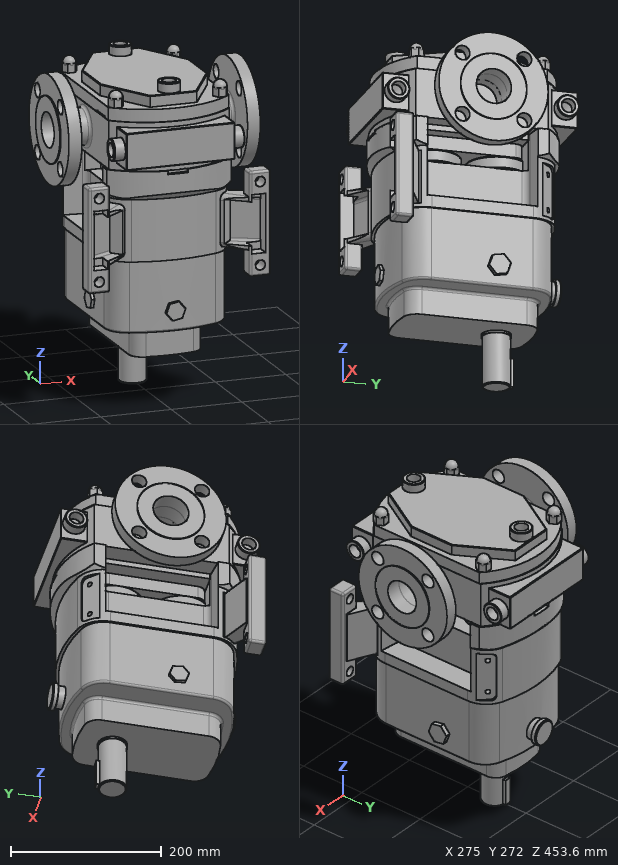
import cadquery as cq
import math

SIDES = (-1, 1)

JACKET_TOP_Z = 66.4
COVER_TOP_Z = 50.6
COVER_BOTTOM_Z = 32.8
CASING_BOTTOM_Z = -34.7
GLAND_TOP_Z = -61.8
GLAND_BOTTOM_Z = -80.0
WEB_TOP_Z = -84.3
COLLAR_BOTTOM_Z = -75.0
WINDOW_BOTTOM_Z = -144.4
FRAME_BOTTOM_Z = -161.2
GEARCASE_BOTTOM_Z = -261.3
BEARING_CAP_BOTTOM_Z = -299.8
SHAFT_END_Z = -373.58
PLUG_Z = -232.5

CASING_HALF_X = 85.5
CASING_RADIUS = 125.7
COVER_RADIUS = 124.4
PRY_LENGTH = 29.0
PRY_DEPTH = 4.0
COVER_PRY_HEIGHT = 2.0
COVER_PRY_Y = -61.5
FRAME_PRY_HEIGHT = 4.8
FRAME_PRY_DEPTH = 6.0

EDGE_CHAMFER = 1.0
JACKET_HALF_X = 77.0
JACKET_INNER_Y = 97.5
JACKET_OUTER_Y = 136.0
JACKET_HEIGHT = 51.0
COVER_JACKET_HALF_X = 76.0
COVER_JACKET_HALF_Y = 109.0
COVER_JACKET_END_X = 33.2
COVER_JACKET_SIDE_Y = 34.8
COVER_PORT_Y = 92.3
SIDE_PORT_Y = 118.0
PORT_RADIUS = 15.2
PORT_BORE_RADIUS = 9.5
PORT_BORE_DEPTH = 15.0
COVER_PORT_LENGTH = 13.6
SIDE_PORT_LENGTH = 15.3
DRILL_HALF_ANGLE = math.radians(59)

NUT_X = 74.0
NUT_Y = 88.0
NUT_FLATS = 18.0
NUT_HEIGHT = 12.6
NUT_DOME_RADIUS = 9.3

FLANGE_FACE_X = 137.5
RAISED_FACE_HEIGHT = 1.6
RAISED_FACE_RADIUS = 46.0
FLANGE_BACK_X = 117.5
FLANGE_RADIUS = 76.0
PIPE_RADIUS = 25.4
PIPE_FILLET = 4.0
PORT_HOLE_RADIUS = 24.3
PORT_HOLE_DEPTH = 65.0
BOLT_CIRCLE_RADIUS = 60.8
BOLT_HOLE_RADIUS = 10.0

SHAFT_Y = 46.4
SEAL_BLOCK_HALF_X = 40.0
SEAL_BLOCK_CORNER = 12.0
SEAL_STEP_HALF_X = 60.0
SEAL_STEP_HEIGHT = 8.0
GLAND_RADIUS = 42.2
GLAND_CHAMFER = 2.0
GLAND_NECK_RADIUS = 27.0

END_ARC_RADIUS = 185.0
COLLAR_HALF_X = 88.4
COLLAR_RADIUS = 128.0
COLLAR_FLARE = 12.0
FRAME_HALF_X = 87.4
FRAME_HALF_Y = 119.0
FRAME_CORNER = 40.5
GEARCASE_HALF_X = 84.6
GEARCASE_HALF_Y = 114.6
GEARCASE_CORNER = 35.5
GEARCASE_BOTTOM_FILLET = 3.0
BEARING_CAP_HALF_X = 50.3
BEARING_CAP_HALF_Y = 96.3
BEARING_CAP_CORNER = 20.3
BEARING_CAP_ROOT = 3.5
SELECTION_MARGIN = 1.0
WINDOW_HALF_Y = 72.7
WINDOW_MOUTH_HALF_Y = 77.0
WINDOW_CORNER = 8.7
WEB_HALF_X = 53.0

PAD_TOP_Z = -81.5
PAD_BOTTOM_Z = -155.8
PAD_REACH = 169.6
PAD_EDGE_X = 87.4
PAD_TIP_X = 66.0
PAD_CORNER = 8.0
PAD_CLEARANCE = 8.0
PAD_HOLE_RADIUS = 3.3
PAD_HOLE_DEPTH = 15.0
PAD_HOLE_Y = 95.5
PAD_HOLE_INSET = 12.3

FOOT_INNER_X = 98.9
FOOT_OUTER_X = 129.2
FOOT_BACK_Y = 108.5
FOOT_FRONT_Y = 133.3
FOOT_TOP_Z = -45.6
FOOT_BOTTOM_Z = -191.9
FOOT_ROUND = 3.3
FOOT_WALL_X = 121.6
FOOT_RIB = 6.0
FOOT_PLATE = 8.5
FOOT_FLANGE = 6.5
FOOT_POCKET_FILLET = 3.5
FOOT_HOLE_RADIUS = 6.9
FOOT_HOLE_X = 114.2
FOOT_HOLE_INSET = 15.4
FOOT_POCKET_TOP_Z = -78.0
FOOT_POCKET_BOTTOM_Z = -160.0
ARM_EDGE_Y = 90.0
ARM_WALL_Y = 107.0

PLUG_ACROSS_CORNERS = 27.5
PLUG_HEIGHT = 4.6
PLUG_ROOT = 3.0
PLUG_TURN = 10.0
LARGE_PLUG_ACROSS_CORNERS = 31.0
LARGE_PLUG_HEIGHT = 6.9
SIDE_PLUG_Y = 23.3
GLASS_NECK_RADIUS = 15.5
GLASS_NECK_END_Y = 124.5
GLASS_RIM_RADIUS = 18.6
GLASS_RIM_END_Y = 132.0
GLASS_EDGE = 1.5

SHAFT_RADIUS = 19.0
SHAFT_SHOULDER_RADIUS = 20.0
SHAFT_SHOULDER_LENGTH = 3.0
SHAFT_CHAMFER = 1.5
KEY_TOP_Z = -332.4
KEY_WIDTH = 10.0
KEY_RISE = 23.0


def block(x0, x1, y0, y1, z0, z1):
    """Box between two opposite corners."""
    return cq.Workplane("XY").box(x1 - x0, y1 - y0, z1 - z0, centered=False).translate((x0, y0, z0))


def rod(start, direction, radius, length):
    """Cylinder that starts at a point and runs along a direction."""
    return cq.Workplane(cq.Solid.makeCylinder(radius, length, cq.Vector(*start), cq.Vector(*direction)))


def hexagon(start, direction, across_corners, length, turn=0.0):
    """Hexagonal prism; at zero turn a corner points along the local X axis."""
    x_axis = (1, 0, 0) if direction[0] == 0 else (0, 1, 0)
    plane = cq.Plane(origin=start, xDir=x_axis, normal=direction)
    return cq.Workplane(plane.rotated((0, 0, turn))).polygon(6, across_corners).extrude(length)


def prism(points, z0, z1):
    """Polygon in the XY plane extruded between two levels."""
    return cq.Workplane("XY").workplane(offset=z0).polyline(points).close().extrude(z1 - z0)


def flattened_disc(radius, half_x, z0, z1):
    """Disc with two flats facing X."""
    disc = rod((0, 0, z0), (0, 0, 1), radius, z1 - z0)
    return disc.intersect(block(-half_x, half_x, -radius, radius, z0, z1))


def bowed_block(half_x, half_y, corner, z0, z1):
    """Block with flat X sides, bowed Y ends and rounded corners."""
    edge_y = half_y - END_ARC_RADIUS + math.sqrt(END_ARC_RADIUS**2 - half_x**2)
    return (
        cq.Workplane("XY").workplane(offset=z0)
        .moveTo(half_x, -edge_y)
        .lineTo(half_x, edge_y)
        .threePointArc((0, half_y), (-half_x, edge_y))
        .lineTo(-half_x, -edge_y)
        .threePointArc((0, -half_y), (half_x, -edge_y))
        .close()
        .extrude(z1 - z0)
        .edges("|Z").fillet(corner)
    )


def drilled_hole(mouth, inward, radius, depth):
    """Cutter for a blind hole with a conical drill point."""
    point_length = radius / math.tan(DRILL_HALF_ANGLE)
    straight = cq.Solid.makeCylinder(radius, depth, mouth, inward)
    point = cq.Solid.makeCone(radius, 0, point_length, mouth + inward * depth, inward)
    return cq.Workplane(straight.fuse(point))


def port_boss(base, outward, length):
    """Threaded port boss and the cutter for its blind hole."""
    start = cq.Vector(base)
    axis = cq.Vector(outward)
    boss = rod(base, outward, PORT_RADIUS, length)
    boss = boss.faces(cq.selectors.DirectionMinMaxSelector(axis, True)).chamfer(EDGE_CHAMFER)
    mouth = start + axis * length
    hole = drilled_hole(mouth, axis * -1, PORT_BORE_RADIUS, PORT_BORE_DEPTH)
    return boss, hole


def acorn_nut(x, y):
    corners = NUT_FLATS / math.cos(math.pi / 6)
    dome_z = COVER_TOP_Z + NUT_HEIGHT
    nut = hexagon((x, y, COVER_TOP_Z), (0, 0, 1), corners, NUT_HEIGHT)
    dome = cq.Workplane("XY").sphere(NUT_DOME_RADIUS).translate((x, y, dome_z))
    return nut.union(dome)


def make_cover():
    body = flattened_disc(COVER_RADIUS, CASING_HALF_X, COVER_BOTTOM_Z, COVER_TOP_Z)
    octagon = [
        (COVER_JACKET_HALF_X, -COVER_JACKET_SIDE_Y),
        (COVER_JACKET_HALF_X, COVER_JACKET_SIDE_Y),
        (COVER_JACKET_END_X, COVER_JACKET_HALF_Y),
        (-COVER_JACKET_END_X, COVER_JACKET_HALF_Y),
        (-COVER_JACKET_HALF_X, COVER_JACKET_SIDE_Y),
        (-COVER_JACKET_HALF_X, -COVER_JACKET_SIDE_Y),
        (-COVER_JACKET_END_X, -COVER_JACKET_HALF_Y),
        (COVER_JACKET_END_X, -COVER_JACKET_HALF_Y),
    ]
    body = body.union(prism(octagon, COVER_TOP_Z, JACKET_TOP_Z).faces(">Z").chamfer(EDGE_CHAMFER))
    for side in SIDES:
        boss, hole = port_boss((0, side * COVER_PORT_Y, JACKET_TOP_Z), (0, 0, 1), COVER_PORT_LENGTH)
        body = body.union(boss).cut(hole)
        for end in SIDES:
            body = body.union(acorn_nut(side * NUT_X, end * NUT_Y))
    pry_slot = block(
        -CASING_HALF_X, PRY_DEPTH - CASING_HALF_X,
        COVER_PRY_Y - PRY_LENGTH / 2, COVER_PRY_Y + PRY_LENGTH / 2,
        COVER_BOTTOM_Z, COVER_BOTTOM_Z + COVER_PRY_HEIGHT,
    )
    return body.cut(pry_slot)


def flanged_port(side):
    """Raised-face flange on a pipe that flares into the casing and the flange."""
    flange_front_x = FLANGE_FACE_X - RAISED_FACE_HEIGHT
    throat = PIPE_RADIUS + PIPE_FILLET
    slack = PIPE_FILLET * (1 - math.sqrt(0.5))
    port = (
        cq.Workplane("XY")
        .moveTo(CASING_HALF_X - PIPE_FILLET, 0)
        .lineTo(CASING_HALF_X - PIPE_FILLET, throat)
        .lineTo(CASING_HALF_X, throat)
        .threePointArc(
            (CASING_HALF_X + slack, PIPE_RADIUS + slack),
            (CASING_HALF_X + PIPE_FILLET, PIPE_RADIUS),
        )
        .lineTo(FLANGE_BACK_X - PIPE_FILLET, PIPE_RADIUS)
        .threePointArc((FLANGE_BACK_X - slack, PIPE_RADIUS + slack), (FLANGE_BACK_X, throat))
        .lineTo(FLANGE_BACK_X, FLANGE_RADIUS)
        .lineTo(flange_front_x, FLANGE_RADIUS)
        .lineTo(flange_front_x, RAISED_FACE_RADIUS)
        .lineTo(FLANGE_FACE_X, RAISED_FACE_RADIUS)
        .lineTo(FLANGE_FACE_X, 0)
        .close()
        .revolve(360, (0, 0, 0), (1, 0, 0))
    )
    for quarter in range(4):
        angle = math.radians(45 + 90 * quarter)
        center = (FLANGE_BACK_X, BOLT_CIRCLE_RADIUS * math.cos(angle), BOLT_CIRCLE_RADIUS * math.sin(angle))
        port = port.cut(rod(center, (1, 0, 0), BOLT_HOLE_RADIUS, FLANGE_FACE_X - FLANGE_BACK_X))
    return port if side > 0 else port.mirror("YZ")


def side_jacket(side):
    """Heating jacket box on one Y end of the casing."""
    box = block(
        -JACKET_HALF_X, JACKET_HALF_X, JACKET_INNER_Y, JACKET_OUTER_Y,
        -JACKET_HEIGHT / 2, JACKET_HEIGHT / 2,
    ).edges(">Y or |Y").chamfer(EDGE_CHAMFER)
    return box if side > 0 else box.mirror("XZ")


def shaft_seals():
    """Seal block and the two stepped glands that end on the gearbox web."""
    step = block(
        -SEAL_STEP_HALF_X, SEAL_STEP_HALF_X, -WINDOW_HALF_Y, WINDOW_HALF_Y,
        CASING_BOTTOM_Z - SEAL_STEP_HEIGHT, CASING_BOTTOM_Z,
    )
    seals = block(
        -SEAL_BLOCK_HALF_X, SEAL_BLOCK_HALF_X, -WINDOW_HALF_Y, WINDOW_HALF_Y, GLAND_TOP_Z, CASING_BOTTOM_Z,
    ).edges("|Z").fillet(SEAL_BLOCK_CORNER)
    seals = seals.union(step)
    for side in SIDES:
        gland_length = GLAND_TOP_Z - GLAND_BOTTOM_Z
        gland = rod((0, side * SHAFT_Y, GLAND_BOTTOM_Z), (0, 0, 1), GLAND_RADIUS, gland_length)
        gland = gland.edges().chamfer(GLAND_CHAMFER)
        neck = rod((0, side * SHAFT_Y, WEB_TOP_Z), (0, 0, 1), GLAND_NECK_RADIUS, GLAND_BOTTOM_Z - WEB_TOP_Z)
        seals = seals.union(gland).union(neck)
    between_walls = block(
        -CASING_HALF_X, CASING_HALF_X, -WINDOW_HALF_Y, WINDOW_HALF_Y, WEB_TOP_Z, CASING_BOTTOM_Z,
    )
    return seals.intersect(between_walls)


def make_casing():
    body = flattened_disc(CASING_RADIUS, CASING_HALF_X, CASING_BOTTOM_Z, COVER_BOTTOM_Z)
    body = body.union(shaft_seals())
    for end in SIDES:
        body = body.union(side_jacket(end))
        for side in SIDES:
            base = (side * JACKET_HALF_X, end * SIDE_PORT_Y, 0)
            boss, hole = port_boss(base, (side, 0, 0), SIDE_PORT_LENGTH)
            body = body.union(boss).cut(hole)
    for side in SIDES:
        body = body.union(flanged_port(side))
        body = body.cut(rod((side * FLANGE_FACE_X, 0, 0), (-side, 0, 0), PORT_HOLE_RADIUS, PORT_HOLE_DEPTH))
    return body


def collar():
    """Top collar with a 45 degree underside that flares out from the frame outline."""
    disc = flattened_disc(COLLAR_RADIUS, COLLAR_HALF_X, COLLAR_BOTTOM_Z, CASING_BOTTOM_Z)
    flare_top_z = COLLAR_BOTTOM_Z + COLLAR_FLARE
    narrow = bowed_block(FRAME_HALF_X, FRAME_HALF_Y, FRAME_CORNER, COLLAR_BOTTOM_Z, flare_top_z)
    wide = bowed_block(
        FRAME_HALF_X + COLLAR_FLARE, FRAME_HALF_Y + COLLAR_FLARE, FRAME_CORNER + COLLAR_FLARE,
        COLLAR_BOTTOM_Z, flare_top_z,
    )
    outlines = [narrow.faces("<Z").wires().val(), wide.faces(">Z").wires().val()]
    flare = cq.Workplane(cq.Solid.makeLoft(outlines, True))
    above = flattened_disc(COLLAR_RADIUS, COLLAR_HALF_X, flare_top_z, CASING_BOTTOM_Z)
    return disc.intersect(flare).union(above)


def window_pocket(side):
    """Flared pocket in one X side, closed inward by the web."""
    mouth_x = side * COLLAR_HALF_X
    web_x = side * WEB_HALF_X
    outline = [
        (mouth_x, -WINDOW_MOUTH_HALF_Y),
        (web_x, -WINDOW_HALF_Y),
        (web_x, WINDOW_HALF_Y),
        (mouth_x, WINDOW_MOUTH_HALF_Y),
    ]
    pocket = prism(outline, WINDOW_BOTTOM_Z, CASING_BOTTOM_Z)
    web_side = "<X" if side > 0 else ">X"
    return pocket.faces(web_side).edges("|Z").fillet(WINDOW_CORNER)


def pad_cutter(side, end):
    """Cutter for one flat 45 degree foot pad, rounded at its tip."""
    outer_x = 2 * PAD_EDGE_X - PAD_TIP_X
    width = (outer_x - PAD_TIP_X) * math.sqrt(2)
    center = (side * PAD_EDGE_X, end * (PAD_REACH - PAD_EDGE_X), (PAD_TOP_Z + PAD_BOTTOM_Z) / 2)
    plane = cq.Plane(origin=center, xDir=(-side, end, 0), normal=(side, end, 0))
    cutter = cq.Workplane(plane).rect(width, PAD_TOP_Z - PAD_BOTTOM_Z).extrude(PAD_CLEARANCE)
    return cutter.edges(cq.selectors.ParallelDirSelector(cq.Vector(side, end, 0))).fillet(PAD_CORNER)


def pad_holes(side):
    """Cutter for the two screw holes of the free pad on the +Y side."""
    holes = cq.Workplane("XY")
    for z in (PAD_TOP_Z - PAD_HOLE_INSET, PAD_BOTTOM_Z + PAD_HOLE_INSET):
        mouth = (side * (PAD_REACH - PAD_HOLE_Y), PAD_HOLE_Y, z)
        holes = holes.union(rod(mouth, (-side, -1, 0), PAD_HOLE_RADIUS, PAD_HOLE_DEPTH))
    return holes


def oil_fittings():
    """Three hexagon plugs and the sight glass around the gear case."""
    front_plug = hexagon(
        (0, PLUG_ROOT - GEARCASE_HALF_Y, PLUG_Z), (0, -1, 0),
        PLUG_ACROSS_CORNERS, PLUG_ROOT + PLUG_HEIGHT, PLUG_TURN,
    )
    left_plug = hexagon(
        (-GEARCASE_HALF_X, -SIDE_PLUG_Y, PLUG_Z), (-1, 0, 0), PLUG_ACROSS_CORNERS, PLUG_HEIGHT, PLUG_TURN,
    )
    right_plug = hexagon(
        (GEARCASE_HALF_X, SIDE_PLUG_Y, PLUG_Z), (1, 0, 0),
        LARGE_PLUG_ACROSS_CORNERS, LARGE_PLUG_HEIGHT, PLUG_TURN,
    )
    glass_start_y = GEARCASE_HALF_Y - PLUG_ROOT
    neck_length = GLASS_NECK_END_Y - glass_start_y
    glass_neck = rod((0, glass_start_y, PLUG_Z), (0, 1, 0), GLASS_NECK_RADIUS, neck_length)
    rim_length = GLASS_RIM_END_Y - GLASS_NECK_END_Y
    glass_rim = rod((0, GLASS_NECK_END_Y, PLUG_Z), (0, 1, 0), GLASS_RIM_RADIUS, rim_length)
    glass_rim = glass_rim.faces(">Y").chamfer(GLASS_EDGE)
    return [front_plug, left_plug, right_plug, glass_neck, glass_rim]


def gear_case():
    """Gear case with the bearing cap below it, blended at the root of the cap."""
    case = bowed_block(
        GEARCASE_HALF_X, GEARCASE_HALF_Y, GEARCASE_CORNER, GEARCASE_BOTTOM_Z, FRAME_BOTTOM_Z,
    ).faces("<Z").edges().fillet(GEARCASE_BOTTOM_FILLET)
    cap = bowed_block(
        BEARING_CAP_HALF_X, BEARING_CAP_HALF_Y, BEARING_CAP_CORNER, BEARING_CAP_BOTTOM_Z, GEARCASE_BOTTOM_Z,
    )
    reach_x = BEARING_CAP_HALF_X + SELECTION_MARGIN
    reach_y = BEARING_CAP_HALF_Y + SELECTION_MARGIN
    cap_root = cq.selectors.BoxSelector(
        (-reach_x, -reach_y, GEARCASE_BOTTOM_Z - SELECTION_MARGIN),
        (reach_x, reach_y, GEARCASE_BOTTOM_Z + SELECTION_MARGIN),
    )
    return case.union(cap).edges(cap_root).fillet(BEARING_CAP_ROOT)


def make_gearbox():
    body = bowed_block(FRAME_HALF_X, FRAME_HALF_Y, FRAME_CORNER, FRAME_BOTTOM_Z, COLLAR_BOTTOM_Z)
    for side in SIDES:
        body = body.cut(pad_holes(side))
        for end in SIDES:
            body = body.cut(pad_cutter(side, end))
    body = body.union(collar()).union(gear_case())
    for fitting in oil_fittings():
        body = body.union(fitting)
    for side in SIDES:
        body = body.cut(window_pocket(side))
    clear_opening = block(
        -COLLAR_HALF_X, COLLAR_HALF_X, -WINDOW_HALF_Y, WINDOW_HALF_Y, WEB_TOP_Z, CASING_BOTTOM_Z,
    )
    body = body.cut(clear_opening)
    for end in SIDES:
        edge_y = end * COLLAR_RADIUS
        floor_y = end * (COLLAR_RADIUS - FRAME_PRY_DEPTH)
        body = body.cut(block(
            -PRY_LENGTH / 2, PRY_LENGTH / 2, min(edge_y, floor_y), max(edge_y, floor_y),
            CASING_BOTTOM_Z - FRAME_PRY_HEIGHT, CASING_BOTTOM_Z,
        ))
    return body


def arm_rear_y(x, offset=0.0):
    """Y of the arm's rear face at X, moved forward by an offset along the face normal."""
    slope = (ARM_WALL_Y - ARM_EDGE_Y) / (FOOT_WALL_X - PAD_EDGE_X)
    return -(ARM_EDGE_Y + slope * (x - PAD_EDGE_X) + offset * math.hypot(1, slope))


def arm_rear_x(reach, offset=0.0):
    """X where the arm's rear face, moved forward by an offset, meets the plane X - Y = reach."""
    slope = (ARM_WALL_Y - ARM_EDGE_Y) / (FOOT_WALL_X - PAD_EDGE_X)
    return (reach + arm_rear_y(0, offset)) / (1 + slope)


def make_foot(side):
    """Foot built for the +X side: bar with two bolt holes and a hollow arm that ends on the pad."""
    bar = block(
        FOOT_INNER_X, FOOT_OUTER_X, -FOOT_FRONT_Y, -FOOT_BACK_Y, FOOT_BOTTOM_Z, FOOT_TOP_Z,
    ).edges().fillet(FOOT_ROUND)

    root_x = arm_rear_x(PAD_REACH)
    plate_shift = FOOT_PLATE / math.sqrt(2)
    front_y = FOOT_ROUND - FOOT_FRONT_Y
    arm = prism(
        [
            (PAD_TIP_X, PAD_TIP_X - PAD_REACH),
            (PAD_TIP_X + plate_shift, PAD_TIP_X - PAD_REACH - plate_shift),
            (FOOT_INNER_X, front_y),
            (FOOT_WALL_X, front_y),
            (FOOT_WALL_X, arm_rear_y(FOOT_WALL_X)),
            (root_x, root_x - PAD_REACH),
        ],
        PAD_BOTTOM_Z, PAD_TOP_Z,
    )
    tip = cq.selectors.ParallelDirSelector(cq.Vector(1, -1, 0))
    arm = arm.edges(tip).edges("<X").fillet(PAD_CORNER)

    plate_reach = PAD_REACH + FOOT_PLATE * math.sqrt(2)
    pocket_x = arm_rear_x(plate_reach, FOOT_RIB)
    arm_pocket = prism(
        [
            (pocket_x, pocket_x - plate_reach),
            (FOOT_WALL_X, arm_rear_y(FOOT_WALL_X, FOOT_RIB)),
            (FOOT_WALL_X, -FOOT_FRONT_Y),
            (plate_reach - FOOT_FRONT_Y, -FOOT_FRONT_Y),
        ],
        PAD_BOTTOM_Z + FOOT_FLANGE, PAD_TOP_Z - FOOT_FLANGE,
    )
    rib_run = FOOT_WALL_X - pocket_x
    rib_direction = cq.Vector(rib_run, arm_rear_y(rib_run) - arm_rear_y(0), 0)
    arm_pocket = arm_pocket.edges(cq.selectors.ParallelDirSelector(rib_direction)).fillet(FOOT_POCKET_FILLET)
    bar_pocket = block(
        FOOT_INNER_X + FOOT_ROUND, FOOT_WALL_X, -FOOT_FRONT_Y, -FOOT_BACK_Y - FOOT_RIB,
        FOOT_POCKET_BOTTOM_Z, FOOT_POCKET_TOP_Z,
    )
    foot = bar.union(arm).cut(arm_pocket).cut(bar_pocket)
    for z in (FOOT_TOP_Z - FOOT_HOLE_INSET, FOOT_BOTTOM_Z + FOOT_HOLE_INSET):
        mouth = (FOOT_HOLE_X, -FOOT_FRONT_Y, z)
        foot = foot.cut(rod(mouth, (0, 1, 0), FOOT_HOLE_RADIUS, FOOT_FRONT_Y - FOOT_BACK_Y))
    return foot if side > 0 else foot.mirror("YZ")


def make_shaft():
    """Keyed drive shaft with a short shoulder at the bearing cap."""
    length = BEARING_CAP_BOTTOM_Z - SHAFT_END_Z
    journal = rod((0, SHAFT_Y, SHAFT_END_Z), (0, 0, 1), SHAFT_RADIUS, length)
    journal = journal.faces("<Z").chamfer(SHAFT_CHAMFER)
    shoulder = rod(
        (0, SHAFT_Y, BEARING_CAP_BOTTOM_Z), (0, 0, -1), SHAFT_SHOULDER_RADIUS, SHAFT_SHOULDER_LENGTH,
    )
    key = block(
        -KEY_WIDTH / 2, KEY_WIDTH / 2, SHAFT_Y, SHAFT_Y + KEY_RISE, SHAFT_END_Z + SHAFT_CHAMFER, KEY_TOP_Z,
    )
    return journal.union(shoulder).union(key)


cover = make_cover()
casing = make_casing()
gearbox = make_gearbox()
shaft = make_shaft()
feet = [make_foot(side) for side in SIDES]

result = cq.Compound.makeCompound(
    [part.solids().val() for part in (cover, casing, gearbox, shaft, *feet)]
)